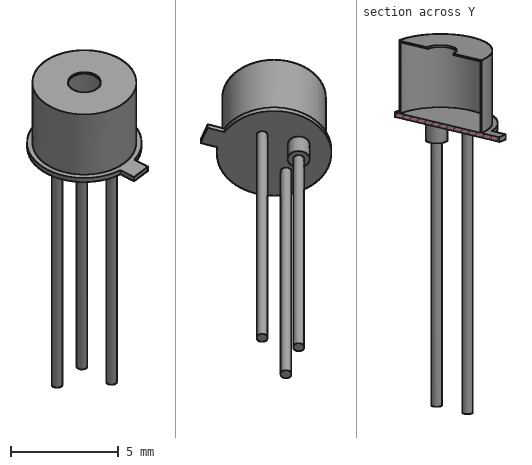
import cadquery as cq
import math

overall_height = 17.78
overall_length = 6.10

flange_diameter = 5.33
flange_thickness = 0.25
tab_width = 1.02

cap_diameter = 4.83
cap_bore_diameter = 4.63
cap_height = 3.56
window_diameter = 1.52

lead_diameter = 0.51
lead_circle_diameter = 2.54
lead_angles = (45, 135, 225)
collar_lead_angle = 135
collar_diameter = 1.02
collar_length = 1.0

cap_wall = (cap_diameter - cap_bore_diameter) / 2
cavity_height = cap_height - cap_wall
lead_length = overall_height - flange_thickness - cap_height
tab_reach = overall_length - flange_diameter / 2


def cylinder(diameter, height, base_z, center=(0, 0)):
    """Upright cylinder standing on base_z."""
    x, y = center
    return cq.Workplane("XY").center(x, y).workplane(offset=base_z).circle(diameter / 2).extrude(height)


def lead_center(angle):
    """Position on the lead circle at an angle measured from +X."""
    radius = lead_circle_diameter / 2
    radians = math.radians(angle)
    return (radius * math.cos(radians), radius * math.sin(radians))


def make_flange():
    """Solid header disc with a rectangular index tab towards +X."""
    disc = cylinder(flange_diameter, flange_thickness, 0)
    tab = cq.Workplane("XY").box(tab_reach, tab_width, flange_thickness, centered=(False, True, False))
    return disc.union(tab)


def make_cap():
    """Thin-walled can with a round window opening in its roof."""
    shell = cylinder(cap_diameter, cap_height, flange_thickness)
    cavity = cylinder(cap_bore_diameter, cavity_height, flange_thickness)
    window = cylinder(window_diameter, cap_height, flange_thickness)
    return shell.cut(cavity).cut(window)


def make_lead(angle):
    """Straight round lead hanging from the flange."""
    return cylinder(lead_diameter, lead_length, -lead_length, lead_center(angle))


def make_collar():
    """Short insulating collar around one lead, directly under the flange."""
    return cylinder(collar_diameter, collar_length, -collar_length, lead_center(collar_lead_angle))


result = make_flange().union(make_cap()).union(make_collar())
for lead_angle in lead_angles:
    result = result.union(make_lead(lead_angle))